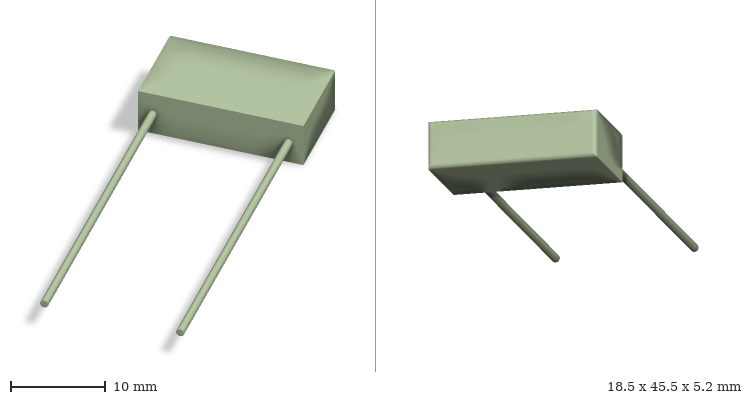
import cadquery as cq

case_width = 18.5
case_depth = 10.5
case_height = 5.2
back_edge_radius = 0.45

lead_diameter = 0.9
lead_pitch = 15.2
overall_depth = 45.5
lead_length = overall_depth - case_depth


def make_case():
    """Rectangular case, centred on X and Z, with rounded edges around its back face."""
    block = cq.Workplane("XY").box(case_width, case_depth, case_height, centered=(True, False, True))
    return block.faces(">Y").edges().fillet(back_edge_radius)


def make_lead(x):
    """Straight round lead running forward (-Y) from the front face of the case."""
    return cq.Workplane("XZ").center(x, 0).circle(lead_diameter / 2).extrude(lead_length)


case = make_case()
leads = [make_lead(side * lead_pitch / 2) for side in (-1, 1)]

result = cq.Compound.makeCompound([case.val(), *[lead.val() for lead in leads]])